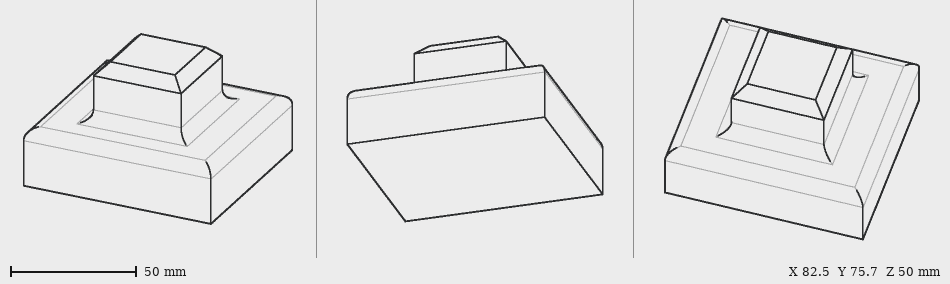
import cadquery as cq

base_length = 82.5
base_width = 75.7
base_height = 25.0
boss_side = 38.5
total_height = 50.0
edge_size = 5.0


def make_base():
    """Rectangular base with its top rim rounded."""
    base = cq.Workplane("XY").box(base_length, base_width, base_height, centered=(True, True, False))
    return base.faces(">Z").edges().fillet(edge_size)


def make_boss():
    """Square boss standing on the base, with its top rim chamfered."""
    boss_height = total_height - base_height
    boss = cq.Workplane("XY").workplane(offset=base_height).rect(boss_side, boss_side).extrude(boss_height)
    return boss.faces(">Z").edges().chamfer(edge_size)


def make_boss_root():
    """Square flare around the foot of the boss, concave on all sides and mitred at the corners."""
    half_side = boss_side / 2
    foot_half = half_side + edge_size
    root_top = base_height + edge_size

    def flared_bar(plane):
        return (
            cq.Workplane(plane)
            .moveTo(-foot_half, base_height)
            .lineTo(foot_half, base_height)
            .radiusArc((half_side, root_top), edge_size)
            .lineTo(-half_side, root_top)
            .radiusArc((-foot_half, base_height), edge_size)
            .close()
            .extrude(foot_half, both=True)
        )

    return flared_bar("XZ").intersect(flared_bar("YZ"))


result = make_base().union(make_boss_root()).union(make_boss())